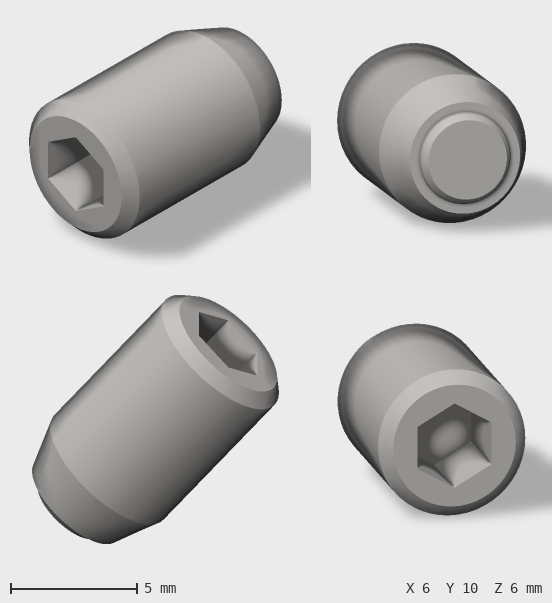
import cadquery as cq
import math

screw_radius = 3.0
total_length = 10.0
end_chamfer = 0.5
taper_start = 7.48
screw_length = 9.55
nose_radius = 2.25

hex_across_flats = 3.0
hex_depth = 3.5

ball_radius = 2.0
ball_flat_radius = 1.6

back_y = -total_length / 2
flat_y = back_y + total_length
ball_center_y = flat_y - math.sqrt(ball_radius**2 - ball_flat_radius**2)


def make_ball():
    """Ball cut off flat at the outer end."""
    return (
        cq.Workplane("XY")
        .moveTo(0, ball_center_y - ball_radius)
        .threePointArc((ball_radius, ball_center_y), (ball_flat_radius, flat_y))
        .lineTo(0, flat_y)
        .close()
        .revolve(360, (0, 0, 0), (0, 1, 0))
    )


def make_hex_socket():
    """Hexagonal prism with two corners pointing along Z."""
    corner_diameter = hex_across_flats / math.cos(math.pi / 6)
    return (
        cq.Workplane("XZ", origin=(0, back_y, 0))
        .transformed(rotate=(0, 0, 90))
        .polygon(6, corner_diameter)
        .extrude(-hex_depth)
    )


def make_screw(ball):
    """Turned screw with a tapered nose, a hexagon socket and a ball seat."""
    profile = [
        (0, back_y),
        (screw_radius - end_chamfer, back_y),
        (screw_radius, back_y + end_chamfer),
        (screw_radius, back_y + taper_start),
        (nose_radius, back_y + screw_length),
        (0, back_y + screw_length),
    ]
    blank = cq.Workplane("XY").polyline(profile).close().revolve(360, (0, 0, 0), (0, 1, 0))
    return blank.cut(make_hex_socket()).cut(ball)


ball = make_ball()
screw = make_screw(ball)

result = cq.Compound.makeCompound([screw.val(), ball.val()])